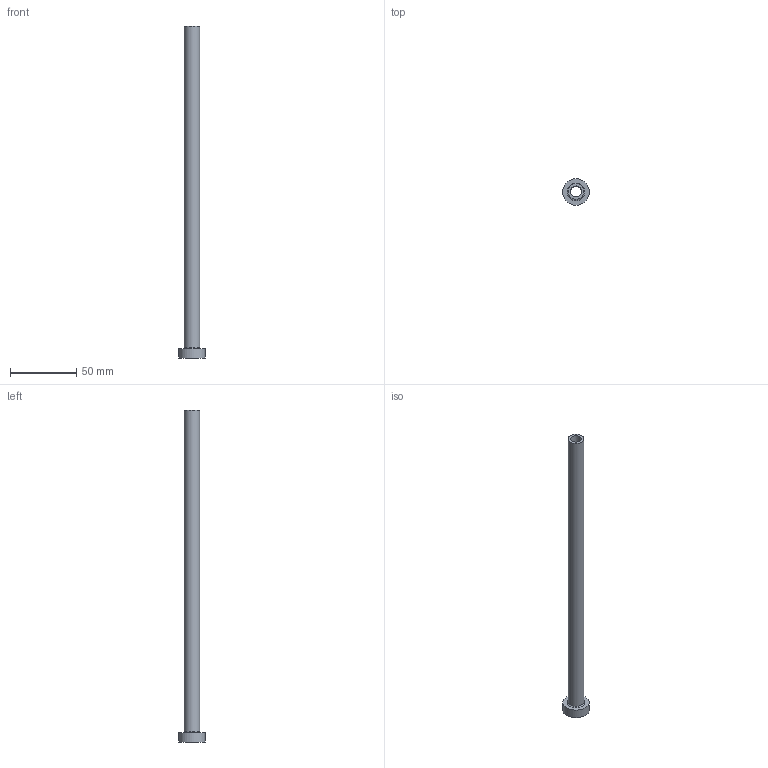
import cadquery as cq

overall_length = 250.0
head_diameter = 20.0
head_height = 7.0
sleeve_diameter = 12.0
bore_diameter = 8.2
neck_fillet_radius = 0.7


def make_sleeve_profile():
    """Half section in the XZ plane, from the bore wall to the outside."""
    bore_radius = bore_diameter / 2
    sleeve_radius = sleeve_diameter / 2
    head_radius = head_diameter / 2
    fillet_outer_radius = sleeve_radius + neck_fillet_radius
    fillet_top = head_height + neck_fillet_radius
    return (
        cq.Workplane("XZ")
        .moveTo(bore_radius, 0)
        .lineTo(head_radius, 0)
        .lineTo(head_radius, head_height)
        .lineTo(fillet_outer_radius, head_height)
        .radiusArc((sleeve_radius, fillet_top), neck_fillet_radius)
        .lineTo(sleeve_radius, overall_length)
        .lineTo(bore_radius, overall_length)
        .close()
    )


result = make_sleeve_profile().revolve(360, (0, 0, 0), (0, 1, 0))